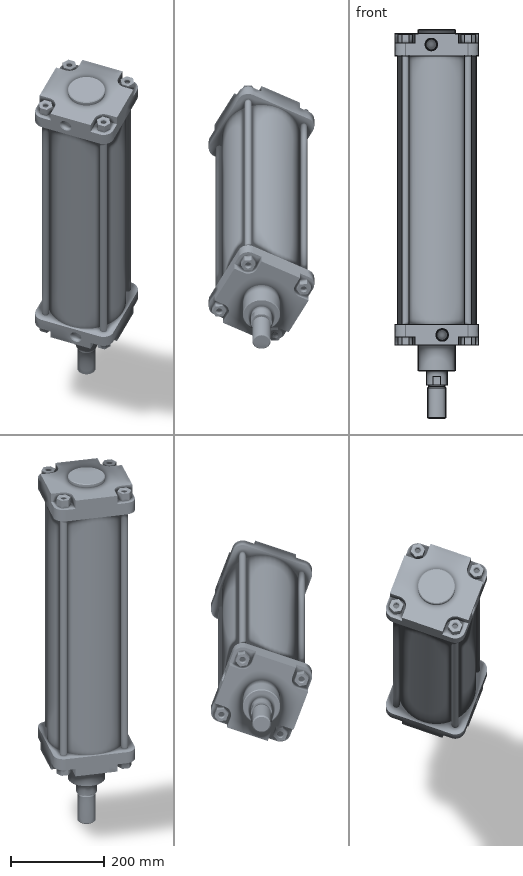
import cadquery as cq
import math

overall_length = 837.0
cap_height = 9.0
rear_cover_height = 48.0
front_cover_bottom = 158.0
front_cover_height = 44.0
boss_bottom = 102.0

rear_cover_top = overall_length - cap_height
barrel_top = rear_cover_top - rear_cover_height
barrel_bottom = front_cover_bottom + front_cover_height

cover_side = 180.0
corner_radius = 23.0
tie_rod_offset = cover_side / 2 - corner_radius
pocket_radius = 21.0
rear_pocket_depth = 20.0
front_pocket_depth = 17.5
upper_seat = rear_cover_top - rear_pocket_depth
lower_seat = front_cover_bottom + front_pocket_depth
boss_diameter = 80.0
boss_chamfer = 2.0

port_diameter = 23.5
port_chamfer = 2.0
port_depth = 25.0
port_shift = 12.0
rear_port_z = 804.0
front_port_z = 180.0

barrel_diameter = 170.0
tie_rod_diameter = 15.0
nut_across_flats = 27.0
rear_nut_height = 18.0
socket_diameter = 12.0
socket_depth = 8.0
socket_chamfer = 2.0
countersink_angle = 90

rod_diameter = 45.0
flats_across = 42.0
flats_top = 90.0
shoulder_z = 72.0
neck_diameter = 35.0
neck_height = 3.0
thread_diameter = 39.0
thread_chamfer = 2.5

corners = [(sx * tie_rod_offset, sy * tie_rod_offset) for sx in (-1, 1) for sy in (-1, 1)]


def cylinder(diameter, bottom, top):
    """Cylinder on the Z axis between two heights."""
    return cq.Workplane("XY").workplane(offset=bottom).circle(diameter / 2).extrude(top - bottom)


def corner_pocket(x, y, bottom, depth):
    """Nut pocket open to both outer sides of a corner, with a round inner corner."""
    side = pocket_radius + corner_radius
    shift = (corner_radius - pocket_radius) / 2
    return (
        cq.Workplane("XY")
        .workplane(offset=bottom)
        .center(x + math.copysign(shift, x), y + math.copysign(shift, y))
        .rect(side, side)
        .extrude(depth)
        .edges(cq.selectors.NearestToPointSelector((0, 0, bottom + depth / 2)))
        .fillet(pocket_radius)
    )


def make_port(face):
    """Blind round port with a slightly countersunk mouth, as a cutting tool."""
    bore = face.circle(port_diameter / 2).extrude(-port_depth)
    mouth = (
        face.circle(port_diameter / 2 + port_chamfer)
        .workplane(offset=-port_chamfer)
        .circle(port_diameter / 2)
        .loft()
    )
    return bore.union(mouth)


def make_cover(bottom, height, pocket_bottom, pocket_depth, port_x, port_z):
    """Square cover with nut pockets, tie rod holes and a port in the -Y side."""
    cover = (
        cq.Workplane("XY")
        .workplane(offset=bottom)
        .rect(cover_side, cover_side)
        .extrude(height)
        .edges("|Z")
        .fillet(corner_radius)
    )
    for x, y in corners:
        cover = cover.cut(corner_pocket(x, y, pocket_bottom, pocket_depth))
        cover = cover.cut(cylinder(tie_rod_diameter, bottom, bottom + height).translate((x, y, 0)))
    port_face = cq.Workplane("XZ", origin=(port_x, -cover_side / 2, port_z))
    return cover.cut(make_port(port_face))


def make_rear_cover():
    """Upper cover with a low round cap on its outer face."""
    cover = make_cover(
        barrel_top, rear_cover_height, upper_seat, rear_pocket_depth, -port_shift, rear_port_z
    )
    cap = cylinder(boss_diameter, rear_cover_top, overall_length).faces(">Z").chamfer(boss_chamfer)
    return cover.union(cap)


def make_front_cover():
    """Lower cover with the long boss that the piston rod leaves from."""
    cover = make_cover(
        front_cover_bottom, front_cover_height, front_cover_bottom, front_pocket_depth, port_shift, front_port_z
    )
    boss = cylinder(boss_diameter, boss_bottom, front_cover_bottom).faces("<Z").chamfer(boss_chamfer)
    return cover.union(boss)


def make_nut(bottom, height, open_face):
    """Hexagon nut with corners along X and a countersunk socket in its outer face."""
    socket_mouth = socket_diameter + 2 * socket_chamfer
    across_corners = nut_across_flats / math.cos(math.pi / 6)
    return (
        cq.Workplane("XY")
        .workplane(offset=bottom)
        .polygon(6, across_corners)
        .extrude(height)
        .faces(open_face)
        .workplane()
        .cskHole(socket_diameter, socket_mouth, countersink_angle, socket_depth)
    )


def make_tie_rod(x, y):
    """Tie rod between the covers with a nut seated in a pocket at each end."""
    rod = cylinder(tie_rod_diameter, lower_seat, upper_seat)
    upper_nut = make_nut(upper_seat, rear_nut_height, ">Z")
    lower_nut = make_nut(front_cover_bottom, front_pocket_depth, "<Z")
    return rod.union(upper_nut).union(lower_nut).translate((x, y, 0))


def make_piston_rod():
    """Stepped rod end: wrench flats, undercut neck and chamfered thread."""
    shank = cylinder(rod_diameter, shoulder_z, boss_bottom)
    flats_height = flats_top - shoulder_z
    flats = cylinder(rod_diameter, shoulder_z, flats_top).cut(
        cq.Workplane("XY")
        .workplane(offset=shoulder_z)
        .rect(rod_diameter, flats_across)
        .extrude(flats_height)
    )
    neck = cylinder(neck_diameter, shoulder_z - neck_height, shoulder_z)
    thread = cylinder(thread_diameter, 0, shoulder_z - neck_height).faces("<Z or >Z").chamfer(thread_chamfer)
    return shank.cut(flats).union(neck).union(thread)


rear_cover = make_rear_cover()
front_cover = make_front_cover()
barrel = cylinder(barrel_diameter, barrel_bottom, barrel_top)
tie_rods = [make_tie_rod(x, y) for x, y in corners]
piston_rod = make_piston_rod()

result = cq.Compound.makeCompound(
    [rear_cover.val(), front_cover.val(), barrel.val(), piston_rod.val()]
    + [rod.val() for rod in tie_rods]
)